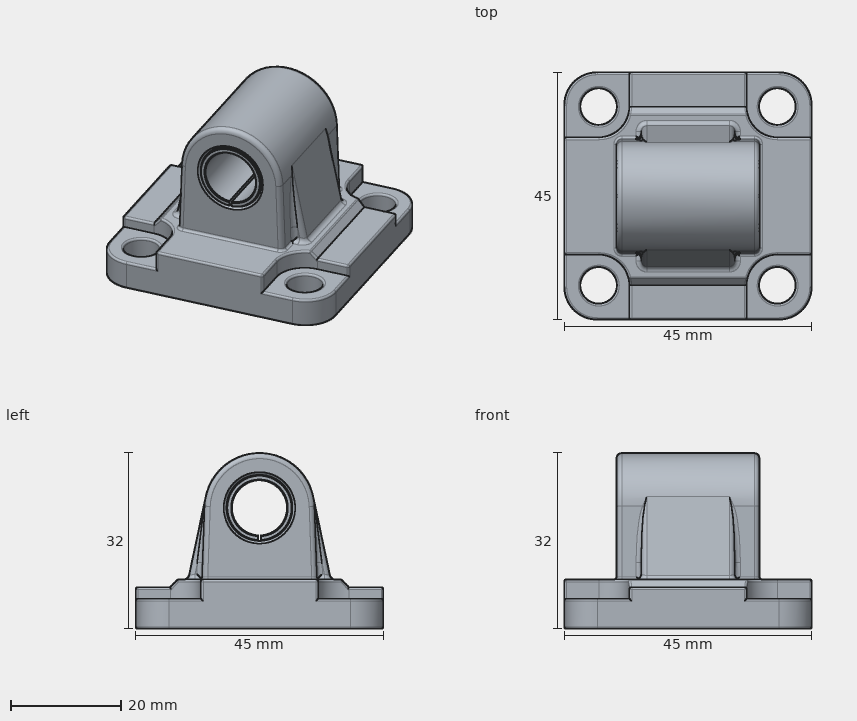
import cadquery as cq
import math

SIDE = 45.0
CORNER_RADIUS = 6.0
PAD_HEIGHT = 5.5
DECK_HEIGHT = 9.0
LEDGE_HEIGHT = 7.6
EDGE_ROUND = 0.4
DECK_START = 2.25

HOLE_SPACING = 32.5
HOLE_DIAMETER = 6.6
POCKET_RADIUS = 5.6

LUG_LENGTH = 26.0
LUG_RADIUS = 10.0
LUG_DRAFT = 2.0
LUG_END_ROUND = 1.0
LUG_ROOT_FILLET = 0.5
AXIS_HEIGHT = 22.0

RIB_WIDTH = 17.0
RIB_TILT = 12.0
RIB_ROUND = 1.0
BLEND_OVERLAP = 0.45
BLEND_RUNOUT = 0.22

BUSH_BORE = 10.0
BUSH_OUTER = 12.0
BUSH_SLIT = 0.5
BUSH_CHAMFER = 0.2
SEAT_CHAMFER = 0.5

half_side = SIDE / 2
hole_offset = HOLE_SPACING / 2
wall_offset = hole_offset - POCKET_RADIUS


def tangent_height(tilt):
    """Height where a side tilted by this many degrees touches the round top."""
    return AXIS_HEIGHT + LUG_RADIUS * math.sin(math.radians(tilt))


def tangent_reach(tilt):
    """Y where a side tilted by this many degrees touches the round top."""
    return LUG_RADIUS * math.cos(math.radians(tilt))


def side_reach(tilt, z):
    """Y at height z of a flat side tilted by this many degrees."""
    return tangent_reach(tilt) + (tangent_height(tilt) - z) * math.tan(math.radians(tilt))


def lug_reach(z):
    """Y of the lug surface at height z: drafted flat below, round top above."""
    if z < tangent_height(LUG_DRAFT):
        return side_reach(LUG_DRAFT, z)
    return math.sqrt(LUG_RADIUS**2 - (z - AXIS_HEIGHT) ** 2)


def blend_full_height():
    """Height below which a rib stands out far enough for its two side rounds to fit in full."""
    lug_slope = math.tan(math.radians(LUG_DRAFT))
    rib_slope = math.tan(math.radians(RIB_TILT))
    rise_at_axis = side_reach(RIB_TILT, AXIS_HEIGHT) - side_reach(LUG_DRAFT, AXIS_HEIGHT)
    return AXIS_HEIGHT - (2 * RIB_ROUND - rise_at_axis) / (rib_slope - lug_slope)


def make_pad():
    """Rounded square plate with the four mounting holes."""
    pad = (
        cq.Workplane("XY")
        .rect(SIDE, SIDE)
        .extrude(PAD_HEIGHT)
        .edges("|Z")
        .fillet(CORNER_RADIUS)
        .faces("<Z or >Z")
        .edges()
        .fillet(EDGE_ROUND)
    )
    holes = (
        cq.Workplane("XY")
        .rect(HOLE_SPACING, HOLE_SPACING, forConstruction=True)
        .vertices()
        .circle(HOLE_DIAMETER / 2)
        .extrude(PAD_HEIGHT)
    )
    hole_rims = cq.selectors.RadiusNthSelector(0)
    return pad.cut(holes).faces(">Z").edges(hole_rims).fillet(EDGE_ROUND)


def make_deck():
    """Cross-shaped deck whose arm sides end in round pocket corners and whose Y ends slope down."""
    corner_mid = wall_offset + POCKET_RADIUS * (1 - math.sqrt(0.5))
    quarter = (
        cq.Workplane("XY", origin=(0, 0, DECK_START))
        .lineTo(half_side, 0)
        .lineTo(half_side, wall_offset)
        .lineTo(hole_offset, wall_offset)
        .threePointArc((corner_mid, corner_mid), (wall_offset, hole_offset))
        .lineTo(wall_offset, half_side)
        .lineTo(0, half_side)
        .close()
        .extrude(DECK_HEIGHT - DECK_START)
    )
    half = quarter.union(quarter.mirror("YZ"))
    cross = half.union(half.mirror("XZ")).clean()
    slope_foot = hole_offset + LEDGE_HEIGHT - DECK_START
    slope_top = hole_offset + LEDGE_HEIGHT - DECK_HEIGHT
    slope_envelope = (
        cq.Workplane("YZ")
        .moveTo(-slope_foot, DECK_START)
        .lineTo(slope_foot, DECK_START)
        .lineTo(slope_top, DECK_HEIGHT)
        .lineTo(-slope_top, DECK_HEIGHT)
        .close()
        .extrude(half_side, both=True)
    )
    deck = cross.intersect(slope_envelope)
    deck = deck.edges("|Z and (<X or >X)").fillet(EDGE_ROUND)
    return deck.edges("not(|Z or <Z)").fillet(EDGE_ROUND)


def make_ledges():
    """Low block across the plate that forms the ledge at both Y ends."""
    return (
        cq.Workplane("XY", origin=(0, 0, DECK_START))
        .rect(2 * wall_offset, SIDE)
        .extrude(LEDGE_HEIGHT - DECK_START)
        .edges("not <Z")
        .fillet(EDGE_ROUND)
    )


def fillet_root(deck, upright, half_x, half_y, radius):
    """Join an upright to the deck and fillet the seam around its foot of the given half sizes."""
    margin = 0.05
    seam = cq.selectors.BoxSelector(
        (-half_x - margin, -half_y - margin, DECK_HEIGHT - margin),
        (half_x + margin, half_y + margin, DECK_HEIGHT + margin),
    )
    return deck.union(upright).edges(seam).fillet(radius)


def make_lug():
    """Upright lug: round top running tangent into slightly drafted sides."""
    top_y = tangent_reach(LUG_DRAFT)
    top_z = tangent_height(LUG_DRAFT)
    foot_y = side_reach(LUG_DRAFT, DECK_START)
    return (
        cq.Workplane("YZ")
        .moveTo(-foot_y, DECK_START)
        .lineTo(-top_y, top_z)
        .threePointArc((0, AXIS_HEIGHT + LUG_RADIUS), (top_y, top_z))
        .lineTo(foot_y, DECK_START)
        .close()
        .extrude(LUG_LENGTH / 2, both=True)
        .faces("<X or >X")
        .edges("not <Z")
        .fillet(LUG_END_ROUND)
    )


def make_ribs():
    """Wedge ribs on both sides, their faces tangent to the round top."""
    top_y = tangent_reach(RIB_TILT)
    top_z = tangent_height(RIB_TILT)
    foot_y = side_reach(RIB_TILT, DECK_START)
    return (
        cq.Workplane("YZ")
        .moveTo(-foot_y, DECK_START)
        .lineTo(-top_y, top_z)
        .lineTo(top_y, top_z)
        .lineTo(foot_y, DECK_START)
        .close()
        .extrude(RIB_WIDTH / 2, both=True)
        .faces("<Y or >Y")
        .edges("<X or >X")
        .fillet(RIB_ROUND)
    )


def blend_section(z):
    """Cross-section at height z of the concave blend between the lug side and a rib side."""
    wall = lug_reach(z)
    rise = min(side_reach(RIB_TILT, z) - wall, 2 * RIB_ROUND)
    round_x = RIB_WIDTH / 2 - RIB_ROUND
    turn = math.acos(1 - rise / (2 * RIB_ROUND))
    center_x = round_x + 2 * RIB_ROUND * math.sin(turn)
    center_y = wall + RIB_ROUND

    def on_arc(angle):
        return (center_x - RIB_ROUND * math.sin(angle), center_y - RIB_ROUND * math.cos(angle))

    return (
        cq.Workplane("XY", origin=(0, 0, z))
        .moveTo(round_x - BLEND_OVERLAP, wall - BLEND_OVERLAP)
        .lineTo(center_x, wall - BLEND_OVERLAP)
        .lineTo(center_x, wall)
        .threePointArc(on_arc(turn / 2), on_arc(turn))
        .lineTo(round_x - BLEND_OVERLAP, on_arc(turn)[1])
        .close()
        .wires()
        .val()
    )


def make_blends():
    """Four concave blends that narrow to nothing where the ribs run out into the lug."""
    full_width = blend_full_height()
    side_top = tangent_height(LUG_DRAFT)
    runout = tangent_height(RIB_TILT) - BLEND_RUNOUT
    spans = ((DECK_START, full_width, 1), (full_width, side_top, 6), (side_top, runout, 4))
    blend = cq.Workplane()
    for low, high, steps in spans:
        heights = [low + (high - low) * i / steps for i in range(steps + 1)]
        blend = blend.add(cq.Solid.makeLoft([blend_section(z) for z in heights]))
    blend = blend.combine()
    pair = blend.union(blend.mirror("YZ"))
    return pair.union(pair.mirror("XZ"))


def make_bore():
    """Seat for the bush, with a chamfer at each end."""
    seat = (
        cq.Workplane("YZ", origin=(0, 0, AXIS_HEIGHT))
        .circle(BUSH_OUTER / 2)
        .extrude(LUG_LENGTH / 2, both=True)
    )
    mouth = (
        cq.Workplane("YZ", origin=(LUG_LENGTH / 2, 0, AXIS_HEIGHT))
        .circle(BUSH_OUTER / 2 + SEAT_CHAMFER)
        .workplane(offset=-SEAT_CHAMFER)
        .circle(BUSH_OUTER / 2)
        .loft(ruled=True)
    )
    return seat.union(mouth).union(mouth.mirror("YZ"))


def make_bush():
    """Split bush flush with the lug ends, its rims chamfered and its slit at the bottom."""
    ring = (
        cq.Workplane("YZ", origin=(0, 0, AXIS_HEIGHT))
        .circle(BUSH_OUTER / 2)
        .circle(BUSH_BORE / 2)
        .extrude(LUG_LENGTH / 2, both=True)
        .faces("<X or >X")
        .edges()
        .chamfer(BUSH_CHAMFER)
    )
    slit_depth = BUSH_OUTER / 2
    slit_middle = AXIS_HEIGHT - slit_depth / 2
    slit = cq.Workplane("XY", origin=(0, 0, slit_middle)).box(LUG_LENGTH, BUSH_SLIT, slit_depth)
    return ring.cut(slit)


deck = make_deck()
lug_base = fillet_root(deck, make_lug(), LUG_LENGTH / 2, lug_reach(DECK_HEIGHT), LUG_ROOT_FILLET)
rib_base = fillet_root(deck, make_ribs(), RIB_WIDTH / 2, side_reach(RIB_TILT, DECK_HEIGHT), RIB_ROUND)
result = (
    make_pad()
    .union(make_ledges())
    .union(lug_base)
    .union(rib_base)
    .union(make_blends())
    .cut(make_bore())
    .union(make_bush())
)